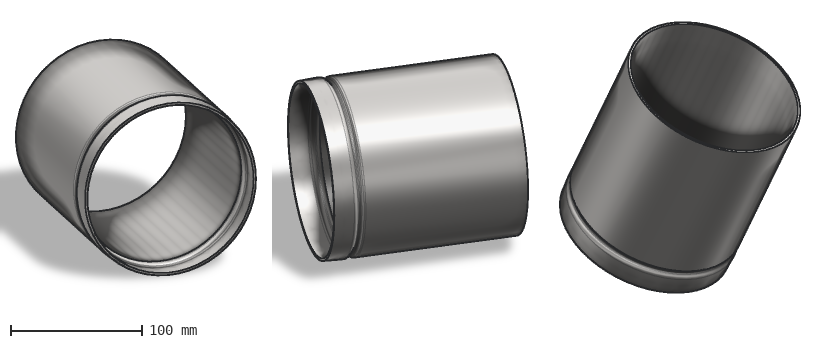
import cadquery as cq
import math

length = 152.4
body_radius = 139.8 / 2
bore_radius = 135.6 / 2
wall = body_radius - bore_radius

groove_radius = 134.5 / 2
groove_start = 128.0
groove_floor_end = 132.5
shoulder_angle = math.radians(55)
lip_angle = math.radians(61)
shoulder_round = 1.7
floor_round = 1.4

lip_radius = 140.0 / 2
lip_end_radius = 138.7 / 2

bead_radius = groove_radius - wall
bead_round = floor_round + wall
lip_bore_radius = lip_radius - wall
lip_end_bore_radius = lip_end_radius - wall


def crest_point(center, radius, angle):
    """Point on a round, at an angle from its outermost point toward +X."""
    x, r = center
    return (x + radius * math.sin(angle), r + radius * math.cos(angle))


def valley_point(center, radius, angle):
    """Point on a round, at an angle from its innermost point toward +X."""
    x, r = center
    return (x + radius * math.sin(angle), r - radius * math.cos(angle))


shoulder_rounds = shoulder_round + floor_round
shoulder_drop = body_radius - groove_radius
slope_drop = shoulder_drop - shoulder_rounds * (1 - math.cos(shoulder_angle))
slope_run = slope_drop / math.tan(shoulder_angle)
groove_floor_start = groove_start + shoulder_rounds * math.sin(shoulder_angle) + slope_run

lip_rounds = (lip_radius - groove_radius) / (1 - math.cos(lip_angle))
lip_round = lip_rounds - floor_round
lip_bore_round = lip_round - wall
lip_start = groove_floor_end + lip_rounds * math.sin(lip_angle)

shoulder_center = (groove_start, body_radius - shoulder_round)
floor_start_center = (groove_floor_start, groove_radius + floor_round)
floor_end_center = (groove_floor_end, groove_radius + floor_round)
lip_center = (lip_start, lip_radius - lip_round)

bead_slope_end = valley_point(floor_start_center, bead_round, -shoulder_angle)
bead_slope_run = (bore_radius - bead_slope_end[1]) / math.tan(shoulder_angle)
bead_start = bead_slope_end[0] - bead_slope_run

outer_side = (
    cq.Workplane("XY")
    .moveTo(0, bore_radius)
    .lineTo(0, body_radius)
    .lineTo(groove_start, body_radius)
    .threePointArc(
        crest_point(shoulder_center, shoulder_round, shoulder_angle / 2),
        crest_point(shoulder_center, shoulder_round, shoulder_angle),
    )
    .lineTo(*valley_point(floor_start_center, floor_round, -shoulder_angle))
    .threePointArc(
        valley_point(floor_start_center, floor_round, -shoulder_angle / 2),
        (groove_floor_start, groove_radius),
    )
    .lineTo(groove_floor_end, groove_radius)
    .threePointArc(
        valley_point(floor_end_center, floor_round, lip_angle / 2),
        valley_point(floor_end_center, floor_round, lip_angle),
    )
    .threePointArc(
        crest_point(lip_center, lip_round, -lip_angle / 2),
        (lip_start, lip_radius),
    )
    .lineTo(length, lip_end_radius)
)
wall_section = (
    outer_side
    .lineTo(length, lip_end_bore_radius)
    .lineTo(lip_start, lip_bore_radius)
    .threePointArc(
        crest_point(lip_center, lip_bore_round, -lip_angle / 2),
        crest_point(lip_center, lip_bore_round, -lip_angle),
    )
    .threePointArc(
        valley_point(floor_end_center, bead_round, lip_angle / 2),
        (groove_floor_end, bead_radius),
    )
    .lineTo(groove_floor_start, bead_radius)
    .threePointArc(
        valley_point(floor_start_center, bead_round, -shoulder_angle / 2),
        bead_slope_end,
    )
    .lineTo(bead_start, bore_radius)
    .close()
)

axis_start = (0, 0, 0)
axis_end = (1, 0, 0)
result = wall_section.revolve(360, axis_start, axis_end)